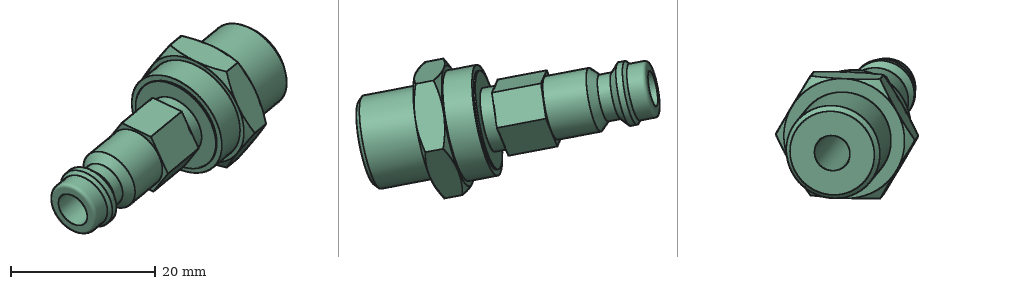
import cadquery as cq
import math

LENGTH = 41.0
BORE_RADIUS = 2.5

NOSE_RADIUS = 4.0
NOSE_ROUND = 0.5
NOSE_END = 2.62
BEAD_START = 3.1
BEAD_END = 4.05
NECK_START = 5.2
NECK_END = 7.05
NECK_RADIUS = 3.32
SHAFT_START = 8.32
SHAFT_RADIUS = 4.5

SMALL_HEX_START = 14.55
SMALL_HEX_END = 21.6
FAR_FLAT = 4.88
NEAR_FLAT = 4.65

FACE_START = 23.58
FACE_RADIUS = 6.95
COLLAR_START = 23.82
COLLAR_RADIUS = 7.85
LARGE_HEX_START = 28.0
LARGE_HEX_END = 32.1
LARGE_HEX_FLATS = 17.0
CORNER_BEVEL_ANGLE = 30.0
THREAD_RADIUS = 6.6
THREAD_CHAMFER = 0.65


def section_plane(y):
    """XZ plane at y, with local x along +X, local y along +Z, extruding toward -Y."""
    return cq.Workplane("XZ", origin=(0, y, 0))


def revolve_profile(points):
    """Revolve a closed (radius, y) outline around the Y axis."""
    return cq.Workplane("XY").polyline(points).close().revolve(360, (0, 0, 0), (0, 1, 0))


def turned_body():
    body = revolve_profile([
        (0, 0),
        (NOSE_RADIUS, 0),
        (NOSE_RADIUS, NOSE_END),
        (SHAFT_RADIUS, BEAD_START),
        (SHAFT_RADIUS, BEAD_END),
        (NECK_RADIUS, NECK_START),
        (NECK_RADIUS, NECK_END),
        (SHAFT_RADIUS, SHAFT_START),
        (SHAFT_RADIUS, FACE_START),
        (FACE_RADIUS, FACE_START),
        (FACE_RADIUS, COLLAR_START),
        (COLLAR_RADIUS, COLLAR_START),
        (COLLAR_RADIUS, LARGE_HEX_START),
        (THREAD_RADIUS, LARGE_HEX_START),
        (THREAD_RADIUS, LENGTH - THREAD_CHAMFER),
        (THREAD_RADIUS - THREAD_CHAMFER, LENGTH),
        (0, LENGTH),
    ])
    return body.faces("<Y").edges().fillet(NOSE_ROUND)


def small_hexagon():
    corners = []
    distances = [FAR_FLAT, NEAR_FLAT]
    for i in range(6):
        here = distances[i % 2]
        following = distances[(i + 1) % 2]
        normal_angle = math.radians(90 + 60 * i)
        along = (following - here * math.cos(math.pi / 3)) / math.sin(math.pi / 3)
        x = here * math.cos(normal_angle) - along * math.sin(normal_angle)
        z = here * math.sin(normal_angle) + along * math.cos(normal_angle)
        corners.append((x, z))
    width = SMALL_HEX_END - SMALL_HEX_START
    return section_plane(SMALL_HEX_END).polyline(corners).close().extrude(width)


def large_hexagon():
    width = LARGE_HEX_END - LARGE_HEX_START
    corner_radius = LARGE_HEX_FLATS / math.sqrt(3)
    prism = section_plane(LARGE_HEX_END).polygon(6, 2 * corner_radius).extrude(width)
    flat_radius = LARGE_HEX_FLATS / 2
    bevel = (corner_radius - flat_radius) * math.tan(math.radians(CORNER_BEVEL_ANGLE))
    bevel_envelope = revolve_profile([
        (0, LARGE_HEX_START),
        (flat_radius, LARGE_HEX_START),
        (corner_radius, LARGE_HEX_START + bevel),
        (corner_radius, LARGE_HEX_END - bevel),
        (flat_radius, LARGE_HEX_END),
        (0, LARGE_HEX_END),
    ])
    return prism.intersect(bevel_envelope)


bore = section_plane(LENGTH).circle(BORE_RADIUS).extrude(LENGTH)

result = turned_body().union(small_hexagon()).union(large_hexagon()).cut(bore)